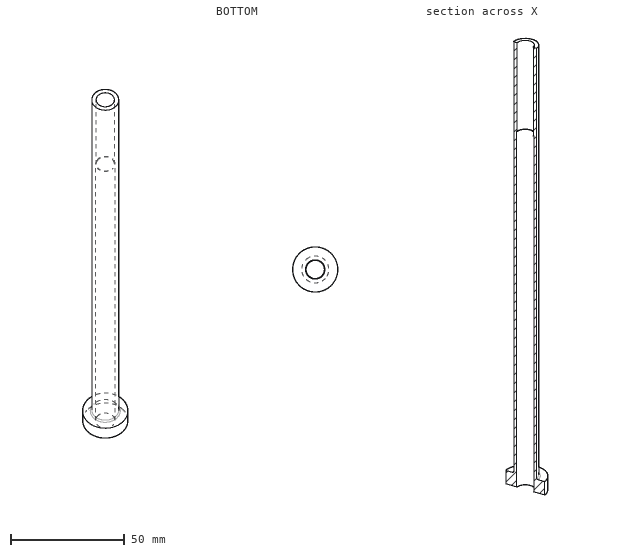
import cadquery as cq

total_length = 225.0
head_diameter = 20.0
head_height = 7.0
tube_diameter = 12.0
root_fillet_radius = 0.7
relief_diameter = 8.5
relief_clearance = 0.55
guide_length = 45.0

guide_diameter = relief_diameter - relief_clearance
relief_depth = total_length - guide_length


def cylinder(diameter, height):
    """Upright cylinder on the Z axis, standing on the base plane."""
    return cq.Workplane("XY").circle(diameter / 2).extrude(height)


body = cylinder(head_diameter, head_height).union(cylinder(tube_diameter, total_length))

head_top = cq.selectors.NearestToPointSelector((0, 0, head_height))
inner_edge = cq.selectors.RadiusNthSelector(0)
body = body.faces(head_top).edges(inner_edge).fillet(root_fillet_radius)

body = body.cut(cylinder(guide_diameter, total_length))
result = body.cut(cylinder(relief_diameter, relief_depth))